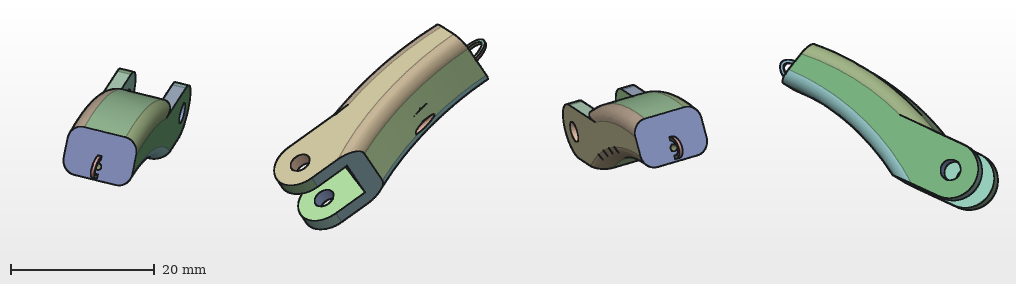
import cadquery as cq
import math

LUG_TILT = math.degrees(math.atan(0.5))

WIDTH = 10.0
LUG_RADIUS = 4.0
PIVOT_DIAMETER = 2.9
SLOT_WIDTH = 6.0
SLOT_END = 5.0
LUG_THICKNESS = (WIDTH - SLOT_WIDTH) / 2
EDGE_FILLET = LUG_THICKNESS
PLATE_END = 10.32

UPPER_START = (5.0, LUG_RADIUS)
LOWER_START = (7.95, -LUG_RADIUS)
UPPER_END = (26.65, 8.0)
LOWER_END = (28.32, 1.23)
UPPER_RADIUS = 41.25
LOWER_RADIUS = 36.15
ARC_RUNOUT = math.radians(8.0)

BORE_DIAMETER = 1.0
BORE_POSITION = 5.0
SIDE_BORE_X = 2.7
SIDE_BORE_LENGTH = 18.0
LOOP_HEIGHT = 3.05
LOOP_HALF_WIDTH = 1.6
LOOP_THICKNESS = 0.5
LOOP_ROOT = 0.3

CLEARANCE = 30.0


def lug_plane():
    """Plane with local x = s and local y = n; its normal points along -X."""
    tilt = math.radians(LUG_TILT)
    return cq.Plane(origin=(0, 0, 0), xDir=(0, -math.cos(tilt), math.sin(tilt)), normal=(-1, 0, 0))


def arc_centre(start, end, radius):
    """Centre of a shallow arc, on the lower side of its chord."""
    chord_s = end[0] - start[0]
    chord_n = end[1] - start[1]
    chord = math.hypot(chord_s, chord_n)
    drop = math.sqrt(radius ** 2 - (chord / 2) ** 2) / chord
    return ((start[0] + end[0]) / 2 + chord_n * drop, (start[1] + end[1]) / 2 - chord_s * drop)


def arc_points(centre, start, end, radius):
    """First, middle and last point of an arc lengthened at its start by the run-out."""
    first = math.atan2(start[1] - centre[1], start[0] - centre[0]) + ARC_RUNOUT
    last = math.atan2(end[1] - centre[1], end[0] - centre[0])
    angles = (first, (first + last) / 2, last)
    return [(centre[0] + radius * math.cos(a), centre[1] + radius * math.sin(a)) for a in angles]


UPPER_CENTRE = arc_centre(UPPER_START, UPPER_END, UPPER_RADIUS)
LOWER_CENTRE = arc_centre(LOWER_START, LOWER_END, LOWER_RADIUS)
FACE_DROP = (LOWER_END[0] - UPPER_END[0], LOWER_END[1] - UPPER_END[1])
FACE_HEIGHT = math.hypot(*FACE_DROP)
FACE_ANGLE = math.degrees(math.atan2(FACE_DROP[0], -FACE_DROP[1]))
BORE_CENTRE = (
    UPPER_END[0] + FACE_DROP[0] * BORE_POSITION / FACE_HEIGHT,
    UPPER_END[1] + FACE_DROP[1] * BORE_POSITION / FACE_HEIGHT,
)


def sketch():
    return cq.Workplane(lug_plane())


def curved_body():
    """Arched bar with rounded long edges, trimmed flush with the underside of the lugs."""
    upper = arc_points(UPPER_CENTRE, UPPER_START, UPPER_END, UPPER_RADIUS)
    lower = arc_points(LOWER_CENTRE, LOWER_START, LOWER_END, LOWER_RADIUS)
    bar = (
        sketch()
        .moveTo(*upper[0])
        .threePointArc(upper[1], upper[2])
        .lineTo(*lower[2])
        .threePointArc(lower[1], lower[0])
        .close()
        .extrude(WIDTH / 2, both=True)
        .edges("%CIRCLE")
        .fillet(EDGE_FILLET)
    )
    below = (
        sketch()
        .center(0, -LUG_RADIUS - CLEARANCE / 2)
        .rect(2 * CLEARANCE, CLEARANCE)
        .extrude(WIDTH, both=True)
    )
    return bar.cut(below)


def lug_plates():
    """Round-ended slab, ended below where the body's lower fillet begins."""
    slab = (
        sketch()
        .moveTo(0, LUG_RADIUS)
        .threePointArc((-LUG_RADIUS, 0), (0, -LUG_RADIUS))
        .lineTo(PLATE_END, -LUG_RADIUS)
        .lineTo(PLATE_END, LUG_RADIUS)
        .close()
        .extrude(WIDTH / 2, both=True)
    )
    fillet_limit = (
        sketch()
        .center(*LOWER_CENTRE)
        .circle(LOWER_RADIUS + EDGE_FILLET)
        .extrude(WIDTH, both=True)
    )
    return slab.cut(fillet_limit)


def lug_slot():
    return (
        sketch()
        .center(SLOT_END - CLEARANCE / 2, 0)
        .rect(CLEARANCE, CLEARANCE)
        .extrude(SLOT_WIDTH / 2, both=True)
    )


def pivot_hole():
    return sketch().circle(PIVOT_DIAMETER / 2).extrude(WIDTH, both=True)


def end_face_frame():
    """Sketch frame on the end face: local x out of the face, local y up the face."""
    return sketch().center(*BORE_CENTRE).transformed(rotate=(0, 0, FACE_ANGLE))


def cord_bore():
    """Bore square to the end face, running through into the slot."""
    return end_face_frame().transformed(rotate=(0, -90, 0)).circle(BORE_DIAMETER / 2).extrude(CLEARANCE)


def side_bore():
    """Bore along the lug centreline, from the slot out through the body's lower arc."""
    return (
        sketch()
        .transformed(offset=(SLOT_END, 0, -SIDE_BORE_X), rotate=(0, 90, 0))
        .circle(BORE_DIAMETER / 2)
        .extrude(SIDE_BORE_LENGTH)
    )


def cord_loop():
    """Half-elliptical band standing on the end face, with legs rooted in the body."""
    def half_ellipse(height, half_width):
        return (
            end_face_frame()
            .workplane(offset=-LOOP_THICKNESS / 2)
            .moveTo(-LOOP_ROOT, -half_width)
            .lineTo(0, -half_width)
            .ellipseArc(height, half_width, -90, 90, startAtCurrent=True)
            .lineTo(-LOOP_ROOT, half_width)
            .close()
            .extrude(LOOP_THICKNESS)
        )

    outer = half_ellipse(LOOP_HEIGHT, LOOP_HALF_WIDTH)
    inner = half_ellipse(LOOP_HEIGHT - LOOP_THICKNESS, LOOP_HALF_WIDTH - LOOP_THICKNESS)
    return outer.cut(inner)


result = (
    curved_body()
    .union(lug_plates())
    .cut(lug_slot())
    .cut(pivot_hole())
    .cut(cord_bore())
    .cut(side_bore())
    .union(cord_loop())
)